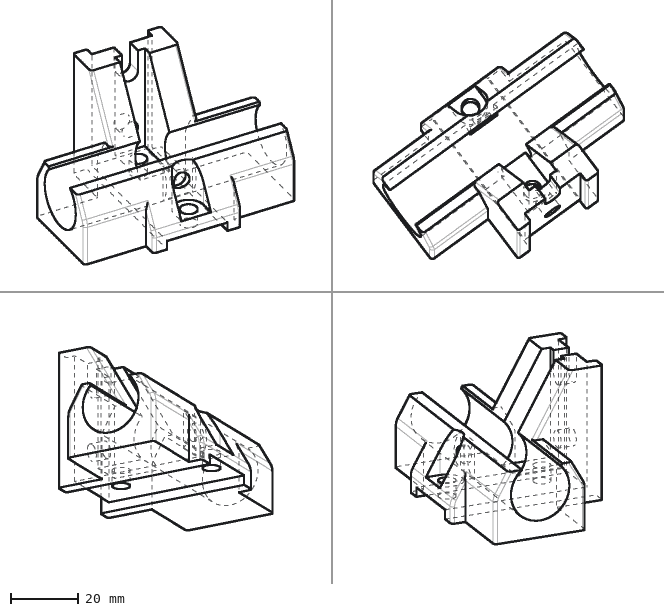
import cadquery as cq
import math

total_width = 49.5
saddle_length = 72.0
total_height = 43.0
block_length = 30.0

bore_x = 30.0
bore_z = 15.0
bore_diameter = 19.15
saddle_half_width = 15.0
saddle_height = 22.5
saddle_top_half_width = 10.45
shoulder_radius = 5.0
end_radius = 1.0

block_top_width = 10.9
slope_rise = math.tan(math.radians(60))

recess_depth = 3.0
recess_width = 20.6
lip_radius = 0.7
channel_height = 3.0
slot_bottom = 32.9

hole_diameter = 5.4
cross_hole_z = 15.5
pocket_width = 10.1
pocket_floor = 8.0
left_pocket_start = 8.0
left_hole_x = 13.1
right_hole_x = 44.1
pad_x = 37.45

saddle_left = bore_x - saddle_half_width
saddle_right = bore_x + saddle_half_width
top_left = bore_x - saddle_top_half_width
top_right = bore_x + saddle_top_half_width
saddle_shoulder_z = saddle_height - (saddle_right - top_right) * slope_rise
block_shoulder_z = saddle_height - (total_width - top_right) * slope_rise


def steep_face_x(z):
    """X of the steep face, which also trims the left lip of the bore."""
    return block_top_width + (total_height - z) / slope_rise


def box(x_start, x_end, width, z_start, z_end):
    """Box centred on Y."""
    size = (x_end - x_start, width, z_end - z_start)
    return cq.Workplane("XY").box(*size, centered=(False, True, False)).translate((x_start, 0, z_start))


def extrude_outline(points, length):
    """Extrude an XZ outline symmetrically along Y."""
    return cq.Workplane("XZ").polyline(points).close().extrude(length / 2, both=True)


def round_shoulder(body, x, z):
    """Round the long Y-direction edge through (x, z)."""
    edge = body.edges("|Y").edges(cq.selectors.NearestToPointSelector((x, 0, z)))
    return edge.fillet(shoulder_radius)


def is_end_edge(edge, x_min, x_max):
    """True for a sloped, curved or upright edge with its centre in the X range."""
    bounds = edge.BoundingBox()
    rises = bounds.zlen > end_radius / 2
    return rises and x_min < edge.Center().x < x_max


def round_ends(body, ranges):
    """Round the end-face edges whose centres lie in one of the X ranges."""
    edges = body.faces("<Y or >Y").edges().filter(
        lambda edge: any(is_end_edge(edge, x_min, x_max) for x_min, x_max in ranges)
    )
    return edges.fillet(end_radius)


def make_saddle():
    outline = [
        (saddle_left, 0),
        (saddle_right, 0),
        (saddle_right, saddle_shoulder_z),
        (top_right, saddle_height),
        (bore_x, saddle_height),
        (steep_face_x(bore_z), bore_z),
        (steep_face_x(saddle_height), saddle_height),
        (top_left, saddle_height),
        (saddle_left, saddle_shoulder_z),
    ]
    saddle = extrude_outline(outline, saddle_length)
    saddle = round_shoulder(saddle, saddle_left, saddle_shoulder_z)
    saddle = round_shoulder(saddle, saddle_right, saddle_shoulder_z)
    return round_ends(saddle, [(0, top_left), (top_right, math.inf)])


def make_block():
    outline = [
        (0, 0),
        (total_width, 0),
        (total_width, block_shoulder_z),
        (top_right, saddle_height),
        (bore_x, saddle_height),
        (steep_face_x(bore_z), bore_z),
        (block_top_width, total_height),
        (0, total_height),
    ]
    block = extrude_outline(outline, block_length)
    block = round_shoulder(block, total_width, block_shoulder_z)
    block = round_ends(block, [(block_top_width, steep_face_x(bore_z)), (top_right, math.inf)])
    block = block.cut(box(0, recess_depth, recess_width, 0, total_height))
    return block.faces("<X").edges("|Z").fillet(lip_radius)


def make_bore():
    bore = cq.Workplane("XZ").center(bore_x, bore_z).circle(bore_diameter / 2)
    bore = bore.extrude(saddle_length / 2, both=True)
    return bore.cut(box(pad_x, total_width, pocket_width, 0, saddle_height))


def make_pockets():
    left = box(left_pocket_start, bore_x, pocket_width, pocket_floor, total_height)
    right = box(right_hole_x, total_width, pocket_width, pocket_floor, total_height)
    round_end = (
        cq.Workplane("XY", origin=(right_hole_x, 0, pocket_floor))
        .circle(pocket_width / 2)
        .extrude(total_height - pocket_floor)
    )
    return left.union(right).union(round_end)


def make_screw_holes():
    upright = (
        cq.Workplane("XY")
        .pushPoints([(left_hole_x, 0), (right_hole_x, 0)])
        .circle(hole_diameter / 2)
        .extrude(total_height)
    )
    cross = cq.Workplane("YZ").center(0, cross_hole_z).circle(hole_diameter / 2).extrude(total_width)
    return upright.union(cross)


def make_slot():
    """Open-topped slot with a round bottom through the mounting face."""
    slot_radius = hole_diameter / 2
    slot_center_z = slot_bottom + slot_radius
    bottom = cq.Workplane("YZ").center(0, slot_center_z).circle(slot_radius).extrude(block_top_width)
    return bottom.union(box(0, block_top_width, hole_diameter, slot_center_z, total_height))


base_channel = box(0, total_width, recess_width, 0, channel_height)

result = make_saddle().union(make_block())
for cutter in (make_bore(), make_pockets(), make_screw_holes(), make_slot(), base_channel):
    result = result.cut(cutter)